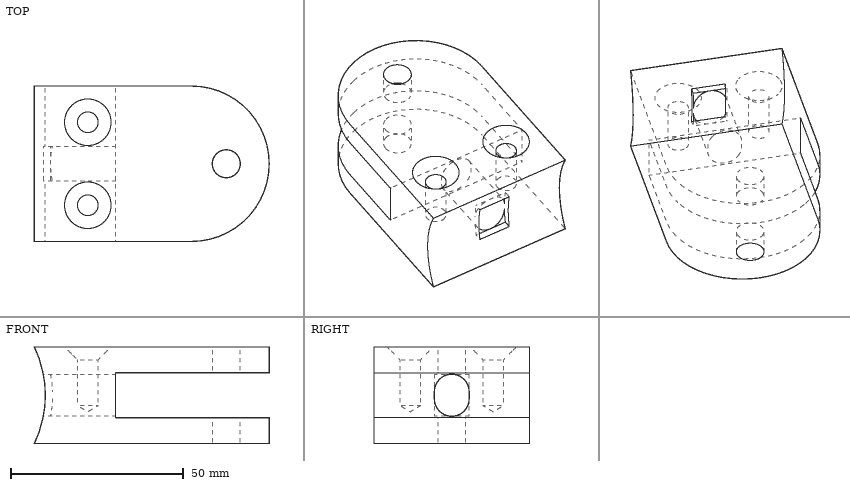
import cadquery as cq
import math

length = 68.0
width = 45.0
height = 28.0
nose_radius = width / 2
nose_center_x = length - nose_radius

saddle_depth = 3.2

slot_start_x = 23.5
slot_height = 13.0

opening_width = 10.0
opening_height = 12.1
liner_thickness = 2.1

screw_x = 15.5
screw_spacing = 24.0
screw_diameter = 6.0
countersink_diameter = 13.45
countersink_angle = 90.0
screw_depth = 17.0
drill_point_angle = 118.0

pin_x = 55.55
pin_diameter = 8.0


def make_body():
    """Block with a full-round nose and a concave saddle at X = 0."""
    plan = (
        cq.Workplane("XY")
        .workplane(offset=-height / 2)
        .moveTo(0, -width / 2)
        .lineTo(nose_center_x, -width / 2)
        .threePointArc((length, 0), (nose_center_x, width / 2))
        .lineTo(0, width / 2)
        .close()
        .extrude(height)
    )
    saddle = (
        cq.Workplane("XZ")
        .moveTo(0, -height / 2)
        .threePointArc((saddle_depth, 0), (0, height / 2))
        .close()
        .extrude(width / 2, both=True)
    )
    return plan.cut(saddle)


def make_panel_slot():
    slot_length = length - slot_start_x
    return cq.Workplane("XY").box(slot_length, width, slot_height).translate(
        (slot_start_x + slot_length / 2, 0, 0)
    )


def make_opening():
    """Rectangular window through the curved liner, then a rounded passage."""
    passage = (
        cq.Workplane("YZ")
        .slot2D(opening_height, opening_width, 90)
        .extrude(slot_start_x)
    )
    floor_edge_x = liner_thickness
    floor_middle_x = saddle_depth + liner_thickness
    window = (
        cq.Workplane("XZ")
        .moveTo(0, -height / 2)
        .lineTo(floor_edge_x, -height / 2)
        .threePointArc((floor_middle_x, 0), (floor_edge_x, height / 2))
        .lineTo(0, height / 2)
        .close()
        .extrude(opening_width / 2, both=True)
        .intersect(cq.Workplane("XY").box(length, width, opening_height))
    )
    return passage.union(window)


def make_screw_hole(y):
    """Revolved countersink, straight bore and conical hole bottom."""
    outer_radius = countersink_diameter / 2
    bore_radius = screw_diameter / 2
    top = height / 2
    sink_depth = (outer_radius - bore_radius) / math.tan(math.radians(countersink_angle / 2))
    point_depth = bore_radius / math.tan(math.radians(drill_point_angle / 2))
    profile = [
        (0, top),
        (outer_radius, top),
        (bore_radius, top - sink_depth),
        (bore_radius, top - screw_depth),
        (0, top - screw_depth - point_depth),
    ]
    hole = cq.Workplane("XZ").polyline(profile).close().revolve(360, (0, 0), (0, 1))
    return hole.translate((screw_x, y, 0))


def make_pin_hole():
    return cq.Workplane("XY").center(pin_x, 0).circle(pin_diameter / 2).extrude(height / 2, both=True)


result = make_body().cut(make_panel_slot()).cut(make_opening()).cut(make_pin_hole())
for side in (-1, 1):
    result = result.cut(make_screw_hole(side * screw_spacing / 2))
result = result.translate((-length / 2, 0, 0))